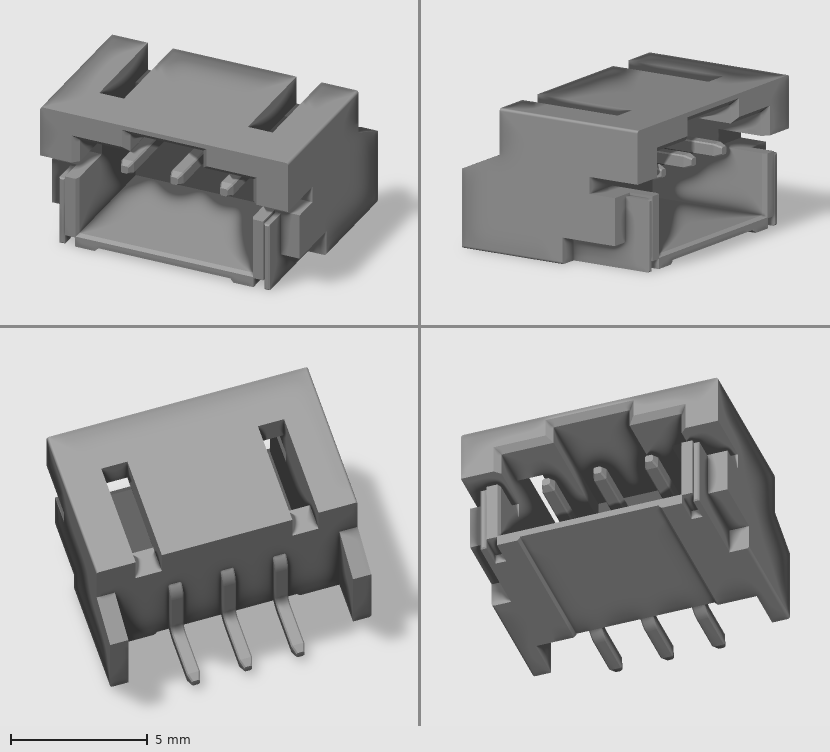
import cadquery as cq
import math

width = 10.0
height = 5.5
body_depth = 6.05
half_width = width / 2
edge_round = 0.1

wing_depth = 7.7
wing_thickness = 0.7
wing_rear_height = 3.0
wing_front_height = 3.75

cavity_half_width = 3.5
cavity_depth = 5.0
cavity_floor = 0.5
cavity_ceiling = 4.375
key_half_width = 1.475
key_ceiling = 5.09
upper_lead_in = 0.23
lower_lead_in = 0.08
lower_lead_in_depth = 0.18

window_bottom = 2.83
window_top = 3.475
window_depth = 2.1

roof_slot_width = 1.0
roof_slot_center = 3.0
roof_slot_front = 1.87

relief_half_width = 2.7
relief_height = 0.15
relief_chamfer = 0.1

tab_thickness = 0.23
tab_outer_x = 4.25
tab_height = 2.73
tab_length = 3.3
tab_chamfer = 0.05

cheek_outer_x = 4.0
cutout_depth = 1.0
cutout_low_height = 1.02
foot_recess_inner_x = 3.6
foot_recess_height = 0.38

pin_count = 3
pin_pitch = 2.0
pin_size = 0.5
pin_edge_chamfer = 0.05
pin_front_tip = 0.85
pin_rear_tip = 8.6
tip_length = 0.3
tip_size = 0.3
pin_axis_z = 3.16
tail_axis_z = pin_size / 2
leg_axis_y = 6.11
bend_radius = 0.52


def box(x_range, y_range, z_range):
    """Axis-aligned block between the given limits."""
    size = [high - low for low, high in (x_range, y_range, z_range)]
    corner = (x_range[0], y_range[0], z_range[0])
    return cq.Workplane("XY").box(*size, centered=False).translate(corner)


def both_sides(shape):
    """The shape together with its mirror image across the plane X = 0."""
    return shape.union(shape.mirror("YZ"))


def make_body():
    """Main block with its long side edges rounded, plus the two rear wings."""
    body = box((-half_width, half_width), (0, body_depth), (0, height))
    wing_profile = [
        (0, 0),
        (wing_depth, 0),
        (wing_depth, wing_rear_height),
        (body_depth, wing_front_height),
        (0, wing_front_height),
    ]
    wing = (
        cq.Workplane("YZ", origin=(half_width - wing_thickness, 0, 0))
        .polyline(wing_profile)
        .close()
        .extrude(wing_thickness)
    )
    body = body.union(both_sides(wing))
    corner_lines = cq.selectors.ParallelDirSelector(cq.Vector(0, 1, 0))
    outer_faces = body.faces("<X or >X")
    return outer_faces.edges(corner_lines).fillet(edge_round)


def closed_wire(y, points):
    """Closed polygon through the given (x, z) points, in the plane at depth y."""
    return cq.Wire.makePolygon([cq.Vector(x, y, z) for x, z in points], close=True)


def upper_section(y, lead_in):
    """Closed wire of the cavity's upper outline at depth y, grown outward by lead_in."""
    side = cavity_half_width + lead_in
    key_side = key_half_width + lead_in
    shoulder = cavity_ceiling + lead_in
    key_top = key_ceiling + lead_in
    points = [
        (-side, window_bottom),
        (-side, shoulder),
        (-key_side, shoulder),
        (-key_side, key_top),
        (key_side, key_top),
        (key_side, shoulder),
        (side, shoulder),
        (side, window_bottom),
    ]
    return closed_wire(y, points)


def lower_section(y, lead_in):
    """Closed wire of the cavity's lower outline at depth y, grown outward by lead_in."""
    side = cavity_half_width + lead_in
    floor = cavity_floor - lead_in
    points = [(-side, floor), (side, floor), (side, window_bottom), (-side, window_bottom)]
    return closed_wire(y, points)


def make_cavity():
    """Mating cavity with its lead-in bevels around the mouth."""
    main = box((-cavity_half_width, cavity_half_width), (0, cavity_depth), (cavity_floor, cavity_ceiling))
    key = box((-key_half_width, key_half_width), (0, cavity_depth), (cavity_floor, key_ceiling))
    upper_bevel = cq.Solid.makeLoft(
        [upper_section(0, upper_lead_in), upper_section(upper_lead_in, 0)], True
    )
    lower_bevel = cq.Solid.makeLoft(
        [lower_section(0, lower_lead_in), lower_section(lower_lead_in_depth, 0)], True
    )
    return main.union(key).union(cq.Workplane(upper_bevel)).union(cq.Workplane(lower_bevel))


def make_side_cuts():
    """Windows, tab cutouts and foot recesses in both side walls."""
    window = box((cavity_half_width, half_width), (0, window_depth), (window_bottom, window_top))
    tall_cutout = box((cheek_outer_x, half_width), (0, cutout_depth), (0, window_bottom))
    low_cutout = box((tab_outer_x, half_width), (0, tab_length), (0, cutout_low_height))
    foot_recess = box((foot_recess_inner_x, cheek_outer_x), (0, cutout_depth), (0, foot_recess_height))
    return both_sides(window.union(tall_cutout).union(low_cutout).union(foot_recess))


def make_roof_slots():
    """Two slots open to the rear; they break through the roof above the cavity."""
    inner_x = roof_slot_center - roof_slot_width / 2
    slot = box(
        (inner_x, inner_x + roof_slot_width),
        (roof_slot_front, body_depth),
        (cavity_ceiling, height),
    )
    return both_sides(slot)


def make_relief():
    """Shallow clearance under the body, flared at its lower corners."""
    flare = relief_half_width + relief_chamfer
    profile = [
        (-flare, 0),
        (-relief_half_width, relief_chamfer),
        (-relief_half_width, relief_height),
        (relief_half_width, relief_height),
        (relief_half_width, relief_chamfer),
        (flare, 0),
    ]
    return cq.Workplane("XZ").polyline(profile).close().extrude(-body_depth)


def make_tab_blank():
    """Plain plate of the +X solder tab, which is also the shape of its slot in the housing."""
    return box((tab_outer_x - tab_thickness, tab_outer_x), (0, tab_length), (0, tab_height))


def make_tab(side):
    """Flat solder tab on the given side (-1 or +1), bevelled around its front face."""
    tab = make_tab_blank().faces("<Y").chamfer(tab_chamfer)
    return tab if side > 0 else tab.mirror("YZ")


def make_tip(base_y, direction, axis_z):
    """Tapered pin point that starts at base_y and runs along Y in the given direction."""
    base = cq.Workplane("XZ", origin=(0, base_y, axis_z)).rect(pin_size, pin_size)
    tip = base.workplane(offset=-direction * tip_length).rect(tip_size, tip_size).loft()
    sloping_edges = tip.edges("not(#Y)")
    return sloping_edges.chamfer(pin_edge_chamfer)


def make_pin():
    """Square pin at X = 0, bent down at the back of the body and then out to the rear."""
    straight_front = pin_front_tip + tip_length
    straight_rear = pin_rear_tip - tip_length
    bend_mid = bend_radius * math.sin(math.pi / 4)
    upper_center = (leg_axis_y - bend_radius, pin_axis_z - bend_radius)
    lower_center = (leg_axis_y + bend_radius, tail_axis_z + bend_radius)
    upper_mid = (upper_center[0] + bend_mid, upper_center[1] + bend_mid)
    lower_mid = (lower_center[0] - bend_mid, lower_center[1] - bend_mid)
    path = (
        cq.Workplane("YZ")
        .moveTo(straight_front, pin_axis_z)
        .lineTo(upper_center[0], pin_axis_z)
        .threePointArc(upper_mid, (leg_axis_y, upper_center[1]))
        .lineTo(leg_axis_y, lower_center[1])
        .threePointArc(lower_mid, (lower_center[0], tail_axis_z))
        .lineTo(straight_rear, tail_axis_z)
    )
    section = cq.Sketch().rect(pin_size, pin_size).vertices().chamfer(pin_edge_chamfer)
    shaft = (
        cq.Workplane("XZ", origin=(0, straight_front, pin_axis_z)).placeSketch(section).sweep(path)
    )
    front_tip = make_tip(straight_front, -1, pin_axis_z)
    rear_tip = make_tip(straight_rear, 1, tail_axis_z)
    return shaft.union(front_tip).union(rear_tip)


first_pin_x = -pin_pitch * (pin_count - 1) / 2
pins = [make_pin().translate((first_pin_x + i * pin_pitch, 0, 0)) for i in range(pin_count)]
tabs = [make_tab(side) for side in (-1, 1)]

housing = make_body()
housing = housing.cut(make_cavity())
housing = housing.cut(make_side_cuts())
housing = housing.cut(make_roof_slots())
housing = housing.cut(make_relief())
housing = housing.cut(both_sides(make_tab_blank()))
for pin in pins:
    housing = housing.cut(pin)

result = cq.Compound.makeCompound(
    [housing.val(), *[pin.val() for pin in pins], *[tab.val() for tab in tabs]]
)